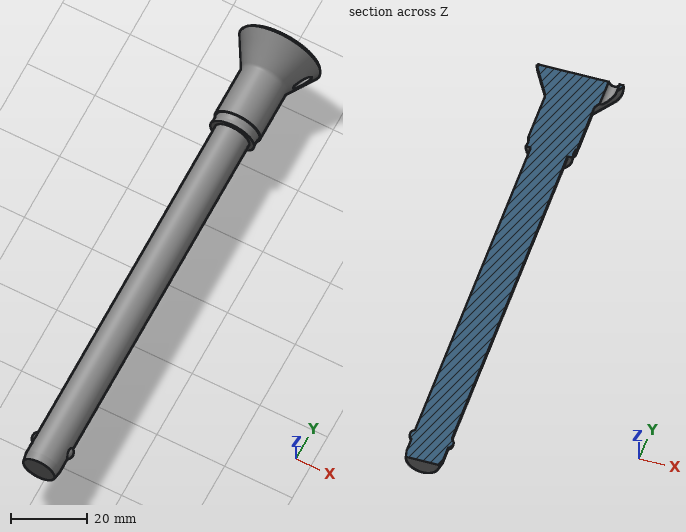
import math

import cadquery as cq


head_radius = 12.0
rim_face_radius = 11.7
sleeve_radius = 6.8
collar_radius = 6.5
groove_radius = 6.3
shank_radius = 5.1
tip_radius = 4.65

rim_height = 0.5
flare_angle = math.radians(30)
flare_fillet = 2.0

total_length = 137.1
tip_length = 2.2
sleeve_end = 24.5
collar_groove = 26.2
collar_end = 27.5

ball_radius = 1.9
ball_reach = 6.0
ball_from_tip = 7.9

lanyard_hole_radius = 1.45
lanyard_hole_offset = 9.2

head_face_y = collar_end
tip_y = head_face_y - total_length
flare_foot_radius = sleeve_radius + flare_fillet * (1 - math.cos(flare_angle))
flare_foot = rim_height + (head_radius - flare_foot_radius) / math.tan(flare_angle)
sleeve_start = flare_foot + flare_fillet * math.sin(flare_angle)


def from_head(distance):
    """Y position at a distance from the head face toward the tip."""
    return head_face_y - distance


def make_body():
    """Head, sleeve, collar, shank and tip as one turned profile."""
    half_angle = flare_angle / 2
    fillet_middle = (
        sleeve_radius + flare_fillet * (1 - math.cos(half_angle)),
        from_head(sleeve_start - flare_fillet * math.sin(half_angle)),
    )
    profile = (
        cq.Workplane("XY")
        .moveTo(0, head_face_y)
        .lineTo(rim_face_radius, head_face_y)
        .lineTo(head_radius, from_head(rim_height))
        .lineTo(flare_foot_radius, from_head(flare_foot))
        .threePointArc(fillet_middle, (sleeve_radius, from_head(sleeve_start)))
        .lineTo(sleeve_radius, from_head(sleeve_end))
        .lineTo(collar_radius, from_head(sleeve_end))
        .lineTo(groove_radius, from_head(collar_groove))
        .lineTo(collar_radius, from_head(collar_end))
        .lineTo(shank_radius, from_head(collar_end))
        .lineTo(shank_radius, tip_y + tip_length)
        .lineTo(tip_radius, tip_y)
        .lineTo(0, tip_y)
        .close()
    )
    return profile.revolve(360, (0, 0, 0), (0, 1, 0))


def make_ball(side):
    """Locking ball standing out of the shank on the +X (1) or -X (-1) side."""
    center_x = side * (ball_reach - ball_radius)
    return cq.Workplane("XY").sphere(ball_radius).translate((center_x, tip_y + ball_from_tip, 0))


def make_lanyard_hole():
    return (
        cq.Workplane("XZ", origin=(lanyard_hole_offset, head_face_y, 0))
        .circle(lanyard_hole_radius)
        .extrude(sleeve_start)
    )


result = make_body().cut(make_lanyard_hole())
for side in (-1, 1):
    result = result.union(make_ball(side))